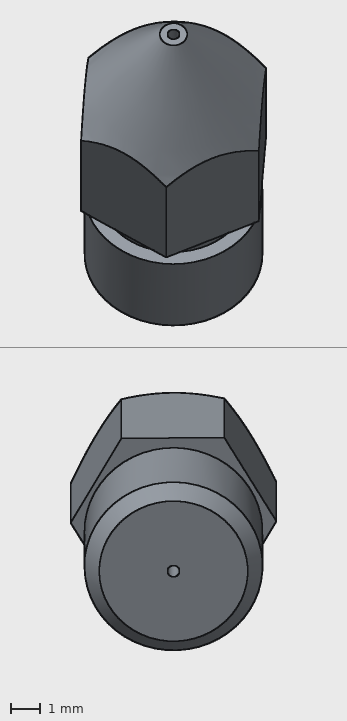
import cadquery as cq
import math

total_height = 13.0
hex_across_flats = 6.0
neck_diameter = 5.0
shank_diameter = hex_across_flats
shank_height = 4.0
neck_height = 1.0
hex_corner_height = 4.0
tip_diameter = 0.92
bore_diameter = 0.4

hex_across_corners = hex_across_flats / math.cos(math.radians(30))
shank_chamfer = (shank_diameter - neck_diameter) / 2
hex_bottom = shank_height + neck_height
cone_bottom = hex_bottom + hex_corner_height


def make_shank():
    """Round shank, chamfered at its lower end."""
    shank = cq.Workplane("XY").circle(shank_diameter / 2).extrude(shank_height)
    return shank.faces("<Z").chamfer(shank_chamfer)


def make_neck():
    """Relief neck between the shank and the hexagon."""
    return (
        cq.Workplane("XY")
        .workplane(offset=shank_height)
        .circle(neck_diameter / 2)
        .extrude(neck_height)
    )


def make_hex_head():
    """Hexagonal prism with corners on X, turned down to a cone at the top."""
    prism = (
        cq.Workplane("XY")
        .workplane(offset=hex_bottom)
        .polygon(6, hex_across_corners)
        .extrude(total_height - hex_bottom)
    )
    corner_radius = hex_across_corners / 2
    turned_envelope = (
        cq.Workplane("XZ")
        .moveTo(0, hex_bottom)
        .lineTo(corner_radius, hex_bottom)
        .lineTo(corner_radius, cone_bottom)
        .lineTo(tip_diameter / 2, total_height)
        .lineTo(0, total_height)
        .close()
        .revolve(360, (0, 0, 0), (0, 1, 0))
    )
    return prism.intersect(turned_envelope)


def make_bore():
    """Orifice running straight through the nozzle."""
    return cq.Workplane("XY").circle(bore_diameter / 2).extrude(total_height)


result = make_shank().union(make_neck()).union(make_hex_head()).cut(make_bore())